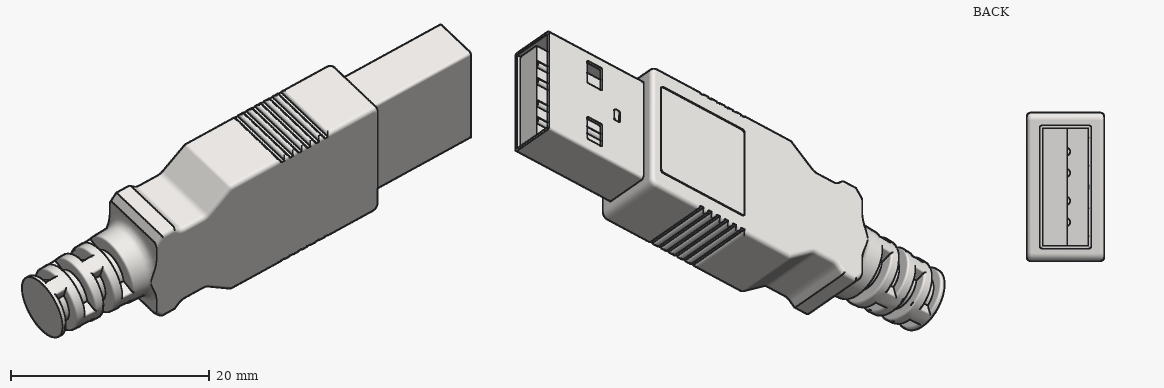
import cadquery as cq
import math

TOTAL_LENGTH = 52.3

GRIP_THICKNESS = 7.85
GRIP_WIDTH = 15.0
GRIP_FRONT_Y = 39.7
GRIP_BACK_Y = 11.5
FRONT_CORNER_RADIUS = 0.8
EDGE_RADIUS = 0.45
SHOULDER_Y = 20.95
SHOULDER_RADIUS = 0.5
NECK_FRONT_Y = 17.8
NECK_BACK_Y = 14.8
NECK_HALF_WIDTH = 5.2
NECK_RADIUS = 1.05
HEAD_FRONT_Y = 13.9
HEAD_BACK_Y = 12.2
HEAD_HALF_WIDTH = 5.95
HEAD_END_HALF_WIDTH = NECK_HALF_WIDTH

FINGER_GROOVE_COUNT = 6
FINGER_GROOVE_PITCH = 1.1
FINGER_GROOVE_WIDTH = 0.4
FINGER_GROOVE_DEPTH = 0.35
FINGER_GROOVE_LIP = 0.3
FINGER_GROOVES_Y = 30.25

LABEL_Y = 32.85
LABEL_LENGTH = 11.2
LABEL_WIDTH = 10.9
LABEL_CORNER_RADIUS = 0.3
LABEL_DEPTH = 0.1

RELIEF_ROOT_Y = 10.45
RELIEF_ROOT_RADIUS = 3.85
RELIEF_END_RADIUS = 3.4
RELIEF_BLEND_RADIUS = GRIP_BACK_Y - RELIEF_ROOT_Y
RELIEF_GROOVE_COUNT = 4
RELIEF_GROOVE_PITCH = 2.3
RELIEF_GROOVE_WIDTH = 1.15
RELIEF_GROOVE_LIP = 0.2
RELIEF_GROOVE_FIRST_Y = 8.0
RELIEF_CORE_RADIUS = 2.3
BRIDGE_WIDTH = 1.8
BRIDGE_ANGLE = 15.0

SHELL_THICKNESS = 5.25
SHELL_WIDTH = 12.45
SHELL_WALL = 0.3
SHELL_EDGE_RADIUS = 0.3
SHELL_INSERTION = 6.3
WINDOW_Y = 46.25
WINDOW_LENGTH = 2.05
WINDOW_WIDTH = 2.8
WINDOW_CORNER_RADIUS = 0.2
DIMPLE_Y = 43.2
DIMPLE_LENGTH = 0.8
DIMPLE_WIDTH = 1.4
DIMPLE_DEPTH = 0.25
DIMPLE_CORNER_RADIUS = 0.25

TONGUE_FACE_X = -0.15
TONGUE_SETBACK = 0.4
CONTACT_WIDTH = 0.8
CONTACT_HEIGHT = 0.3
OUTER_CONTACT_Z = 3.55
INNER_CONTACT_Z = 1.4

PICK_MARGIN = 0.05

ARC_BEND = 1 - math.sqrt(0.5)
GRIP_FACE_X = GRIP_THICKNESS / 2
GRIP_HALF_WIDTH = GRIP_WIDTH / 2
SHELL_FACE_X = SHELL_THICKNESS / 2
SHELL_BACK_Y = GRIP_FRONT_Y - SHELL_INSERTION
SHELL_LENGTH = TOTAL_LENGTH - SHELL_BACK_Y
CAVITY_THICKNESS = SHELL_THICKNESS - 2 * SHELL_WALL
CAVITY_WIDTH = SHELL_WIDTH - 2 * SHELL_WALL
TONGUE_LENGTH = SHELL_LENGTH - TONGUE_SETBACK


def bar_along_y(thickness, width, start_y, length):
    """Rectangular bar centred on the Y axis."""
    return cq.Workplane("XY").box(thickness, length, width).translate((0, start_y + length / 2, 0))


def edges_near(y, z):
    """Selector of the edges centred near (y, z)."""
    low = (-GRIP_THICKNESS, y - PICK_MARGIN, z - PICK_MARGIN)
    high = (GRIP_THICKNESS, y + PICK_MARGIN, z + PICK_MARGIN)
    return cq.selectors.BoxSelector(low, high)


def round_corner(body, y, z, radius):
    """Round the X-parallel edges at (y, +z) and (y, -z)."""
    return body.edges(edges_near(y, z) + edges_near(y, -z)).fillet(radius)


def grip_body():
    upper = [
        (GRIP_FRONT_Y, GRIP_HALF_WIDTH),
        (SHOULDER_Y, GRIP_HALF_WIDTH),
        (NECK_FRONT_Y, NECK_HALF_WIDTH),
        (NECK_BACK_Y, NECK_HALF_WIDTH),
        (HEAD_FRONT_Y, HEAD_HALF_WIDTH),
        (HEAD_BACK_Y, HEAD_HALF_WIDTH),
        (GRIP_BACK_Y, HEAD_END_HALF_WIDTH),
    ]
    lower = [(y, -z) for y, z in reversed(upper)]
    body = cq.Workplane("YZ").polyline(upper + lower).close().extrude(GRIP_FACE_X, both=True)
    body = round_corner(body, GRIP_FRONT_Y, GRIP_HALF_WIDTH, FRONT_CORNER_RADIUS)
    body = round_corner(body, SHOULDER_Y, GRIP_HALF_WIDTH, SHOULDER_RADIUS)
    body = round_corner(body, NECK_FRONT_Y, NECK_HALF_WIDTH, NECK_RADIUS)
    body = round_corner(body, NECK_BACK_Y, NECK_HALF_WIDTH, NECK_RADIUS)
    wide_faces = cq.selectors.StringSyntaxSelector("<X") + cq.selectors.StringSyntaxSelector(">X")
    all_but_back = cq.selectors.InverseSelector(edges_near(GRIP_BACK_Y, 0))
    return body.faces(wide_faces).edges(all_but_back).fillet(EDGE_RADIUS)


def finger_groove(y, side):
    """Groove across one narrow side (+1 or -1 in Z) with rounded lips."""
    surface = GRIP_HALF_WIDTH
    floor = surface - FINGER_GROOVE_DEPTH
    half = FINGER_GROOVE_WIDTH / 2
    lip = FINGER_GROOVE_LIP
    bend = lip * ARC_BEND
    profile = (
        cq.Workplane("YZ")
        .moveTo(y - half, side * floor)
        .lineTo(y - half, side * (surface - lip))
        .threePointArc((y - half - bend, side * (surface - bend)), (y - half - lip, side * surface))
        .lineTo(y + half + lip, side * surface)
        .threePointArc((y + half + bend, side * (surface - bend)), (y + half, side * (surface - lip)))
        .lineTo(y + half, side * floor)
        .close()
    )
    return profile.extrude(GRIP_THICKNESS, both=True)


def strain_relief():
    """Cone with a concave flare, trimmed to the thickness of the grip."""
    blend = RELIEF_BLEND_RADIUS
    flare_radius = RELIEF_ROOT_RADIUS + blend
    bend = blend * ARC_BEND
    cone = (
        cq.Workplane("XY")
        .lineTo(RELIEF_END_RADIUS, 0)
        .lineTo(RELIEF_ROOT_RADIUS, RELIEF_ROOT_Y)
        .threePointArc((RELIEF_ROOT_RADIUS + bend, GRIP_BACK_Y - bend), (flare_radius, GRIP_BACK_Y))
        .lineTo(0, GRIP_BACK_Y)
        .close()
        .revolve(360, (0, 0, 0), (0, 1, 0))
    )
    cone = cone.rotate((0, 0, 0), (0, 1, 0), BRIDGE_ANGLE + 45)
    return cone.intersect(bar_along_y(GRIP_THICKNESS, GRIP_WIDTH, 0, GRIP_BACK_Y))


def relief_groove(index):
    """Ring-shaped groove interrupted by two bridges, turned 90 degrees from the groove before it."""
    y = RELIEF_GROOVE_FIRST_Y - index * RELIEF_GROOVE_PITCH
    ring = (
        cq.Workplane("XZ", origin=(0, y, 0))
        .circle(2 * RELIEF_ROOT_RADIUS)
        .circle(RELIEF_CORE_RADIUS)
        .extrude(RELIEF_GROOVE_WIDTH / 2, both=True)
    )
    bridges = bar_along_y(4 * RELIEF_ROOT_RADIUS, BRIDGE_WIDTH, 0, GRIP_BACK_Y)
    bridges = bridges.rotate((0, 0, 0), (0, 1, 0), BRIDGE_ANGLE + 90 * index)
    return ring.cut(bridges)


def grooved_relief():
    """Strain relief with its grooves, their mouths rounded."""
    relief = strain_relief()
    for index in range(RELIEF_GROOVE_COUNT):
        relief = relief.cut(relief_groove(index))
    seam = cq.selectors.TypeSelector("LINE")
    cone_ends = cq.selectors.StringSyntaxSelector("<Y") + cq.selectors.StringSyntaxSelector(">Y")
    mouths = relief.faces("%CONE").edges(cq.selectors.InverseSelector(seam + cone_ends))
    return mouths.fillet(RELIEF_GROOVE_LIP)


def label_recess():
    blank = cq.Workplane("XY").box(2 * LABEL_DEPTH, LABEL_LENGTH, LABEL_WIDTH)
    return blank.edges("|X").fillet(LABEL_CORNER_RADIUS).translate((-GRIP_FACE_X, LABEL_Y, 0))


def shell_blank():
    """Outer shape of the shell, also the pocket that holds it in the grip."""
    blank = bar_along_y(SHELL_THICKNESS, SHELL_WIDTH, SHELL_BACK_Y, SHELL_LENGTH)
    return blank.edges("|Y").fillet(SHELL_EDGE_RADIUS)


def make_grip():
    grip = grip_body()
    middle = (FINGER_GROOVE_COUNT - 1) / 2
    for index in range(FINGER_GROOVE_COUNT):
        y = FINGER_GROOVES_Y + (index - middle) * FINGER_GROOVE_PITCH
        for side in (1, -1):
            grip = grip.cut(finger_groove(y, side))
    grip = grip.cut(label_recess())
    return grip.union(grooved_relief()).cut(shell_blank())


def shell_window(z):
    window = cq.Workplane("XY").box(4 * SHELL_WALL, WINDOW_LENGTH, WINDOW_WIDTH)
    return window.edges("|X").fillet(WINDOW_CORNER_RADIUS).translate((-SHELL_FACE_X, WINDOW_Y, z))


def shell_dimple():
    """Small rounded pocket with a floor that is an arc across Z."""
    half = DIMPLE_WIDTH / 2
    scoop = (
        cq.Workplane("XZ", origin=(-SHELL_FACE_X, DIMPLE_Y, 0))
        .moveTo(0, -half)
        .threePointArc((DIMPLE_DEPTH, 0), (0, half))
        .close()
        .extrude(DIMPLE_LENGTH / 2, both=True)
    )
    outline = cq.Workplane("XY").box(2 * SHELL_WALL, DIMPLE_LENGTH, DIMPLE_WIDTH)
    outline = outline.edges("|X").fillet(DIMPLE_CORNER_RADIUS).translate((-SHELL_FACE_X, DIMPLE_Y, 0))
    return scoop.intersect(outline)


def make_shell():
    shell = shell_blank().cut(bar_along_y(CAVITY_THICKNESS, CAVITY_WIDTH, SHELL_BACK_Y, SHELL_LENGTH))
    for z in (OUTER_CONTACT_Z, -OUTER_CONTACT_Z):
        shell = shell.cut(shell_window(z))
    return shell.cut(shell_dimple())


def make_insulator():
    thickness = CAVITY_THICKNESS / 2 - TONGUE_FACE_X
    tongue = bar_along_y(thickness, CAVITY_WIDTH, SHELL_BACK_Y, TONGUE_LENGTH)
    return tongue.translate((TONGUE_FACE_X + thickness / 2, 0, 0))


def make_contact(z):
    """Round-backed bar lying on the tongue."""
    return (
        cq.Workplane("XZ", origin=(TONGUE_FACE_X, SHELL_BACK_Y, z))
        .moveTo(0, -CONTACT_WIDTH / 2)
        .threePointArc((-CONTACT_HEIGHT, 0), (0, CONTACT_WIDTH / 2))
        .close()
        .extrude(-TONGUE_LENGTH)
    )


grip = make_grip()
shell = make_shell()
insulator = make_insulator()
contacts = []
for contact_z in (OUTER_CONTACT_Z, INNER_CONTACT_Z, -INNER_CONTACT_Z, -OUTER_CONTACT_Z):
    contacts.append(make_contact(contact_z).val())

result = cq.Compound.makeCompound([grip.val(), shell.val(), insulator.val(), *contacts])